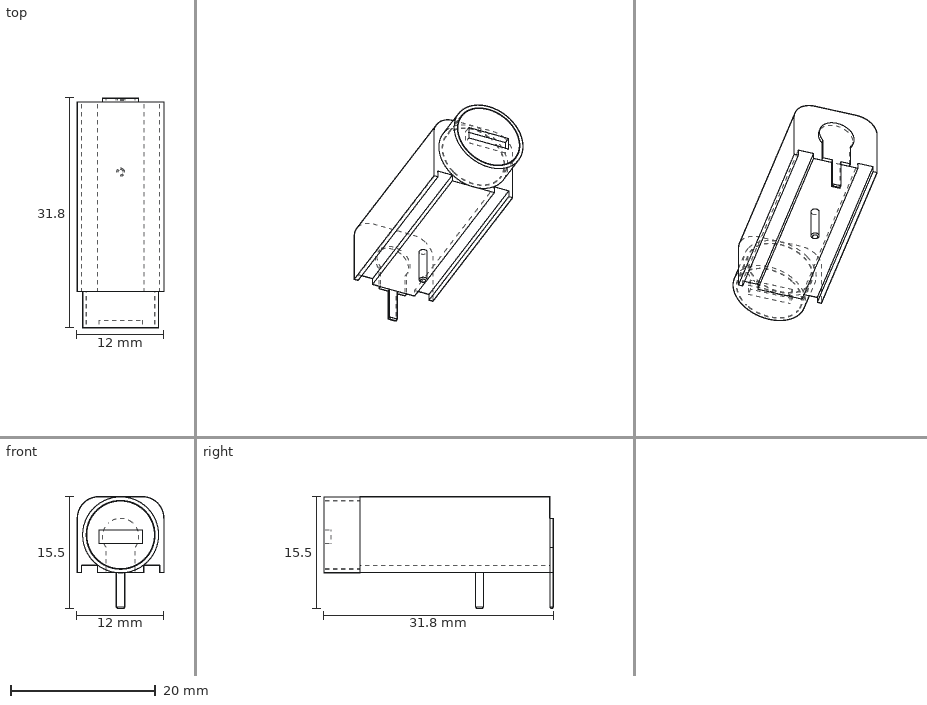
import cadquery as cq

OVERALL_LENGTH = 31.75

HOUSING_WIDTH = 12.0
HOUSING_HEIGHT = 10.5
TOP_EDGE_RADIUS = 3.02
SIDE_WALL = 0.6
CENTRE_RIB_WIDTH = 6.4
CHANNEL_DEPTH = 1.0

COLLAR_LENGTH = 5.02
COLLAR_DIAMETER = 10.5
COLLAR_BORE = 9.52
PLUG_DIAMETER = 9.37
AXIS_HEIGHT = 5.2
SLOT_WIDTH = 6.03
SLOT_HEIGHT = 1.8
SLOT_DEPTH = 1.02
SLOT_DROP = 0.25

LEAD_LENGTH = 5.0
TIP_CHAMFER = 0.2
PIN_DIAMETER = 1.1
PIN_FROM_REAR = 10.22
TERMINAL_THICKNESS = 0.5
TERMINAL_HEAD_DIAMETER = 5.02
TERMINAL_STEM_WIDTH = 4.0
TERMINAL_BLADE_WIDTH = 1.2

HOUSING_FRONT = COLLAR_LENGTH
HOUSING_REAR = OVERALL_LENGTH - TERMINAL_THICKNESS
HOUSING_LENGTH = HOUSING_REAR - HOUSING_FRONT
HEAD_CENTRE_HEIGHT = HOUSING_HEIGHT - TOP_EDGE_RADIUS - TERMINAL_HEAD_DIAMETER / 2


def section_at(y, height=0.0):
    """XZ sketch plane at the given Y; extrusions run toward +Y."""
    return cq.Workplane(cq.Plane(origin=(0, y, height), xDir=(-1, 0, 0), normal=(0, 1, 0)))


def make_housing():
    """Block with rounded top edges and two channels along its underside."""
    body = (
        section_at(HOUSING_FRONT, HOUSING_HEIGHT / 2)
        .rect(HOUSING_WIDTH, HOUSING_HEIGHT)
        .extrude(HOUSING_LENGTH)
        .edges("|Y and >Z")
        .fillet(TOP_EDGE_RADIUS)
    )
    channel_width = (HOUSING_WIDTH - CENTRE_RIB_WIDTH) / 2 - SIDE_WALL
    channel_offset = (CENTRE_RIB_WIDTH + channel_width) / 2
    channels = (
        section_at(HOUSING_FRONT, CHANNEL_DEPTH / 2)
        .pushPoints([(-channel_offset, 0), (channel_offset, 0)])
        .rect(channel_width, CHANNEL_DEPTH)
        .extrude(HOUSING_LENGTH)
    )
    return body.cut(channels)


def make_collar():
    """Ring against the front of the housing, reaching just below its underside."""
    cylinder = section_at(0, AXIS_HEIGHT).circle(COLLAR_DIAMETER / 2).extrude(COLLAR_LENGTH)
    bore = section_at(0, AXIS_HEIGHT).circle(COLLAR_BORE / 2).extrude(COLLAR_LENGTH)
    return cylinder.cut(bore)


def make_plug():
    """Round plug inside the collar, with a screwdriver slot in its face."""
    body = section_at(0, AXIS_HEIGHT).circle(PLUG_DIAMETER / 2).extrude(COLLAR_LENGTH)
    slot = section_at(0, AXIS_HEIGHT - SLOT_DROP).rect(SLOT_WIDTH, SLOT_HEIGHT).extrude(SLOT_DEPTH)
    return body.cut(slot)


def make_pin():
    """Round lead under the centre rib, with a chamfered tip."""
    return (
        cq.Workplane("XY")
        .center(0, OVERALL_LENGTH - PIN_FROM_REAR)
        .circle(PIN_DIAMETER / 2)
        .extrude(-LEAD_LENGTH)
        .faces("<Z")
        .chamfer(TIP_CHAMFER)
    )


def make_terminal():
    """Flat terminal on the rear face: round head, wide stem, narrow blade."""
    blade = (
        section_at(HOUSING_REAR, -LEAD_LENGTH / 2)
        .rect(TERMINAL_BLADE_WIDTH, LEAD_LENGTH)
        .extrude(TERMINAL_THICKNESS)
        .faces("<Z")
        .chamfer(TIP_CHAMFER)
    )
    stem = (
        section_at(HOUSING_REAR, HEAD_CENTRE_HEIGHT / 2)
        .rect(TERMINAL_STEM_WIDTH, HEAD_CENTRE_HEIGHT)
        .extrude(TERMINAL_THICKNESS)
    )
    head = (
        section_at(HOUSING_REAR, HEAD_CENTRE_HEIGHT)
        .circle(TERMINAL_HEAD_DIAMETER / 2)
        .extrude(TERMINAL_THICKNESS)
    )
    return head.union(stem).union(blade)


housing = make_housing()
collar = make_collar()
plug = make_plug()
pin = make_pin()
terminal = make_terminal()

result = cq.Compound.makeCompound(
    [housing.val(), collar.val(), plug.val(), pin.val(), terminal.val()]
)